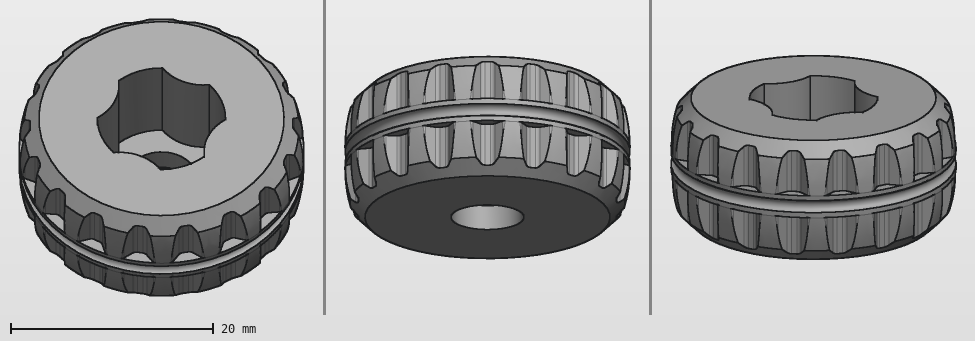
import cadquery as cq
import math

rim_radius = 14.05
height = 12.5
half_height = height / 2

face_radius = 12.1
shoulder_radius = 13.55
shoulder_height = 4.8

groove_half_width = 0.62
groove_depth = 0.6

flute_count = 18
flute_start_angle = 90.0
flute_floor_radius = 12.94
flute_floor_half_width = 0.53
flute_flank_angle = 45.0
flute_floor_fillet = 0.6
flute_lip_fillet = 0.3
rim_band_half_height = 1.15

hole_diameter = 7.2
socket_radius = 6.33
socket_waist_radius = 5.1
socket_corner_angle = 21.4
socket_depth = 10.0
lobe_count = 4


def polar(radius, angle):
    """Point at a radius and an angle in degrees."""
    return radius * math.cos(math.radians(angle)), radius * math.sin(math.radians(angle))


def make_crowned_body():
    """Solid of revolution: plain rim band with a groove, crowned flanks, beveled ends."""
    crown_drop = rim_radius - shoulder_radius
    crown_rise = shoulder_height - rim_band_half_height
    crown_radius = (crown_drop**2 + crown_rise**2) / (2 * crown_drop)
    middle_rise = crown_rise / 2
    middle_radius = rim_radius - crown_radius + math.sqrt(crown_radius**2 - middle_rise**2)
    middle_height = rim_band_half_height + middle_rise

    return (
        cq.Workplane("XZ")
        .moveTo(0, -half_height)
        .lineTo(face_radius, -half_height)
        .lineTo(shoulder_radius, -shoulder_height)
        .threePointArc((middle_radius, -middle_height), (rim_radius, -rim_band_half_height))
        .lineTo(rim_radius, -groove_half_width)
        .threePointArc((rim_radius - groove_depth, 0), (rim_radius, groove_half_width))
        .lineTo(rim_radius, rim_band_half_height)
        .threePointArc((middle_radius, middle_height), (shoulder_radius, shoulder_height))
        .lineTo(face_radius, half_height)
        .lineTo(0, half_height)
        .close()
        .revolve(360, (0, 0, 0), (0, 1, 0))
    )


def make_flute():
    """Cutter for one flute on the +X side, above the rim band, with its rounded edges."""
    flute_length = half_height - rim_band_half_height
    overshoot = 0.28
    mouth_radius = rim_radius + overshoot
    flank_run = (mouth_radius - flute_floor_radius) / math.tan(math.radians(flute_flank_angle))
    mouth_half_width = flute_floor_half_width + flank_run

    plane = cq.Workplane("XY").workplane(offset=rim_band_half_height)
    notch = (
        plane.polyline([
            (flute_floor_radius, -flute_floor_half_width),
            (mouth_radius, -mouth_half_width),
            (mouth_radius, mouth_half_width),
            (flute_floor_radius, flute_floor_half_width),
        ])
        .close()
        .extrude(flute_length)
        .edges("|Z and <X")
        .fillet(flute_floor_fillet)
    )
    disc = plane.circle(rim_radius).extrude(flute_length)
    lip_zone = cq.selectors.BoxSelector(
        (flute_floor_radius + flute_lip_fillet, -mouth_half_width, 0),
        (mouth_radius, mouth_half_width, height),
    )
    notched_disc = disc.cut(notch).edges("|Z").edges(lip_zone).fillet(flute_lip_fillet)
    return disc.cut(notched_disc)


def make_flutes():
    """Full rings of flutes above and below the rim band."""
    flute = make_flute().val()
    axis_start = cq.Vector(0, 0, 0)
    axis_end = cq.Vector(0, 0, 1)
    upper = []
    for index in range(flute_count):
        angle = flute_start_angle + index * 360 / flute_count
        upper.append(flute.rotate(axis_start, axis_end, angle))
    lower = [cutter.mirror("XY") for cutter in upper]
    return cq.Workplane(cq.Compound.makeCompound(upper + lower))


def make_socket():
    """Socket with outward arcs on the lobes and inward arcs between them."""
    lobe_step = 360 / lobe_count
    outline = cq.Workplane("XY").workplane(offset=half_height - socket_depth)
    outline = outline.moveTo(*polar(socket_radius, -socket_corner_angle))
    for index in range(lobe_count):
        middle = index * lobe_step
        outline = outline.threePointArc(
            polar(socket_radius, middle), polar(socket_radius, middle + socket_corner_angle)
        )
        outline = outline.threePointArc(
            polar(socket_waist_radius, middle + lobe_step / 2),
            polar(socket_radius, middle + lobe_step - socket_corner_angle),
        )
    return outline.close().extrude(socket_depth)


def make_through_hole():
    """Plain round hole along the whole axis."""
    return cq.Workplane("XY").circle(hole_diameter / 2).extrude(half_height, both=True)


result = (
    make_crowned_body()
    .cut(make_flutes())
    .cut(make_socket())
    .cut(make_through_hole())
)